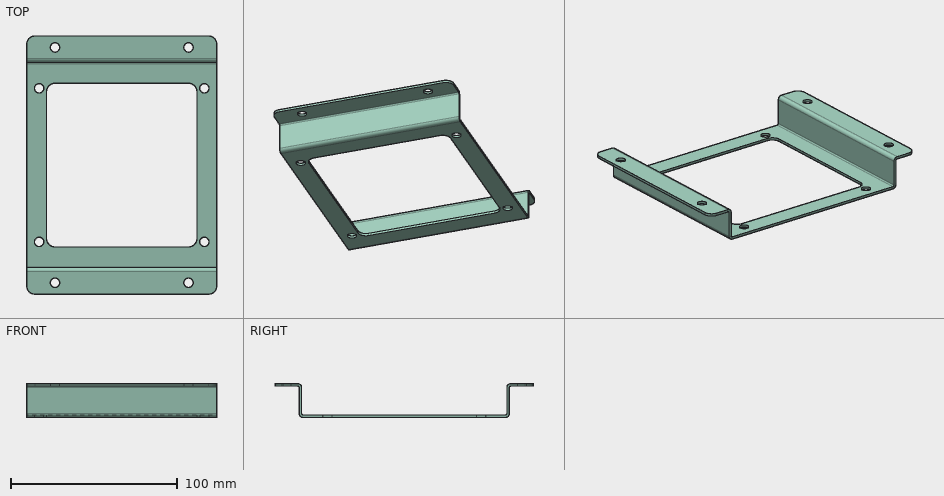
import cadquery as cq

thickness = 1.575
inner_bend_radius = thickness / 2
outer_bend_radius = inner_bend_radius + thickness

width = 114.0
overall_height = 20.37
channel_width = 126.0
flange_length = 16.0

flange_corner_radius = 5.0
flange_hole_spacing_x = 80.0
flange_hole_spacing_y = 141.0

window_width = 90.0
window_length = 98.0
window_corner_radius = 5.0
base_hole_spacing_x = 99.0
base_hole_spacing_y = 92.0

hole_diameter = 5.5


def make_bent_sheet():
    """Hat-shaped sheet: base on Z = 0, two upright walls, two flanges turned outward."""
    wall_outer = channel_width / 2
    wall_inner = wall_outer - thickness
    tip = wall_inner + flange_length
    flange_underside = overall_height - thickness
    profile = (
        cq.Workplane("YZ")
        .moveTo(-wall_outer, 0)
        .lineTo(wall_outer, 0)
        .lineTo(wall_outer, flange_underside)
        .lineTo(tip, flange_underside)
        .lineTo(tip, overall_height)
        .lineTo(wall_inner, overall_height)
        .lineTo(wall_inner, thickness)
        .lineTo(-wall_inner, thickness)
        .lineTo(-wall_inner, overall_height)
        .lineTo(-tip, overall_height)
        .lineTo(-tip, flange_underside)
        .lineTo(-wall_outer, flange_underside)
        .close()
    )
    sheet = profile.extrude(width / 2, both=True)
    return round_bends(sheet, wall_outer, wall_inner, flange_underside)


def round_bends(sheet, wall_outer, wall_inner, flange_underside):
    """Give all four bends concentric inner and outer radii."""
    bend_edges = (
        (wall_outer, 0, outer_bend_radius),
        (wall_inner, thickness, inner_bend_radius),
        (wall_inner, overall_height, outer_bend_radius),
        (wall_outer, flange_underside, inner_bend_radius),
    )
    for y, z, radius in bend_edges:
        for side in (-1, 1):
            nearest_edge = cq.selectors.NearestToPointSelector((0, side * y, z))
            sheet = sheet.edges("|X").edges(nearest_edge).fillet(radius)
    return sheet


def round_flange_corners(sheet):
    """Round the two free corners of each flange."""
    for tip_face in ("<Y", ">Y"):
        sheet = sheet.faces(tip_face).edges("|Z").fillet(flange_corner_radius)
    return sheet


def make_window():
    """Cutter for the large rounded opening in the base."""
    return (
        cq.Workplane("XY")
        .rect(window_width, window_length)
        .extrude(thickness)
        .edges("|Z")
        .fillet(window_corner_radius)
    )


def make_holes(spacing_x, spacing_y):
    """Cutters for four through holes at the corners of a centred rectangle."""
    return (
        cq.Workplane("XY")
        .rect(spacing_x, spacing_y, forConstruction=True)
        .vertices()
        .circle(hole_diameter / 2)
        .extrude(overall_height)
    )


result = round_flange_corners(make_bent_sheet())
result = result.cut(make_window())
result = result.cut(make_holes(base_hole_spacing_x, base_hole_spacing_y))
result = result.cut(make_holes(flange_hole_spacing_x, flange_hole_spacing_y))